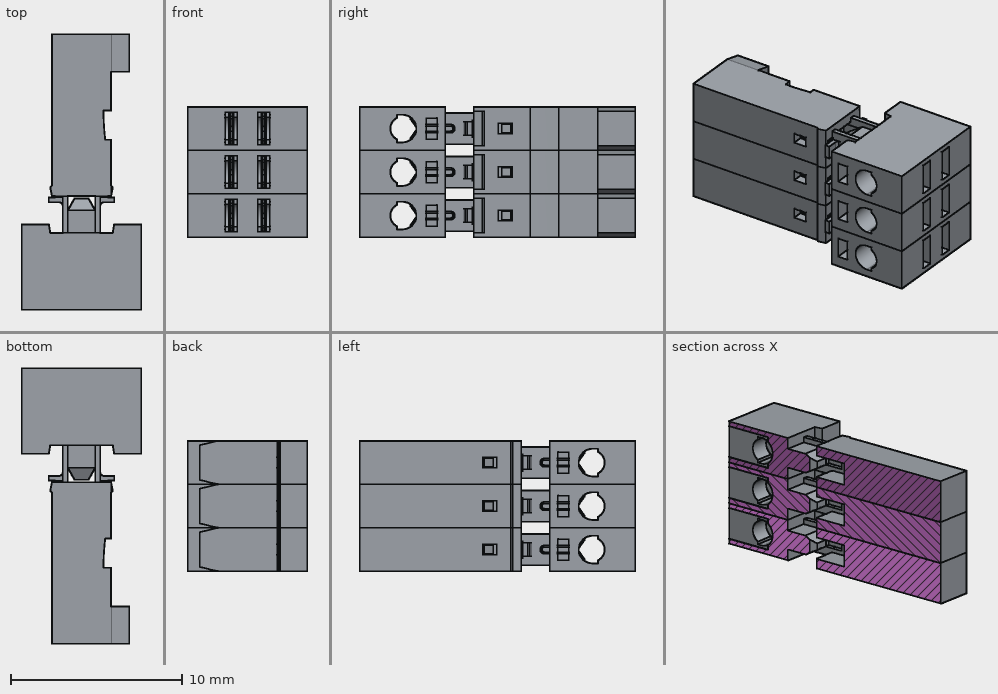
import cadquery as cq
import math

MODULE_COUNT = 3
PITCH = 2.54

BLOCK_WIDTH = 7.0
BLOCK_LENGTH = 5.0
NOTCH_DEPTH = 0.5
NOTCH_MOUTH_HALF = 1.9
NOTCH_FLOOR_HALF = 1.82
NOTCH_FLOOR_Y = BLOCK_LENGTH - NOTCH_DEPTH

HOLE_Y = 2.5
HOLE_REAR_RADIUS = 0.8
HOLE_FRONT_RADIUS = 0.7
HOLE_STEP_Y = 2.185

BLADE_THICKNESS = 0.3
BLADE_INNER_X = 0.8
BLADE_OUTER_X = BLADE_INNER_X + BLADE_THICKNESS
BLADE_X = BLADE_INNER_X + BLADE_THICKNESS / 2
BLADE_HALF_HEIGHT = 0.92

FORK_TIP_Y = 2.95
FORK_TIP_OUTER_Z = 0.72
FORK_TIP_INNER_Z = 0.58
FORK_THROAT_Y = 3.26
FORK_SLOT_HALF = 0.15
FORK_SLOT_END_Y = 5.46
FORK_EDGE_CHAMFER = 0.095

SLOT_WIDTH = 0.7
SLOT_HEIGHT = 1.9

WINDOW_NEAR_Y = 3.88
WINDOW_FAR_Y = 4.54
WINDOW_HEIGHT = 1.22

HOUSING_FRONT_Y = 6.65
HOUSING_REAR_Y = 16.1
HOUSING_HALF = 1.73
SNAP_RISE = 0.1
SNAP_CREST_Y = 7.15
SNAP_END_Y = 7.28
SNAP_SHORT_HEIGHT = 2.0

SCOOP_NEAR_Y = 9.95
SCOOP_FAR_Y = 11.64
SCOOP_NEAR_X = 1.39
SCOOP_FAR_X = 1.29

KEY_FRONT_Y = 13.9
KEY_REACH_X = 2.8
KEY_TAPER = 0.26
KEY_TIP_HEIGHT = PITCH - 2 * KEY_TAPER

TONGUE_SHOULDER_Y = 5.82
TONGUE_TIP_Y = 6.52
TONGUE_HALF_HEIGHT = 0.6
TONGUE_TAPER = 0.39
SOCKET_HALF_HEIGHT = 0.65
SOCKET_DEPTH = 2.1

EAR_REACH_X = 1.92
EAR_FRONT_Y = 6.28
EAR_REAR_Y = 6.57
EAR_HEIGHT = 0.8
EAR_BEND_RADIUS = 0.21
PAD_REACH_X = 1.54
PAD_HEIGHT = 1.0

BLADE_OPENING_FRONT_Y = 6.17
BLADE_OPENING_REAR_Y = 7.37

LATCH_NEAR_Y = 8.1
LATCH_FAR_Y = 8.91
LATCH_HEIGHT = 0.6
LANCE_NEAR_Y = 8.31
LANCE_FAR_Y = 8.81
LANCE_HEIGHT = 0.5
LANCE_RISE = 0.17


def block(x_from, x_to, y_from, y_to, height):
    """Box between the given X and Y limits, centred on the module's mid height."""
    return (
        cq.Workplane("XY")
        .box(x_to - x_from, y_to - y_from, height)
        .translate(((x_from + x_to) / 2, (y_from + y_to) / 2, 0))
    )


def extruded(outline, height):
    """Prism of a closed XY outline, centred on the module's mid height."""
    return outline.close().extrude(height / 2, both=True)


def both_sides(shape):
    """The shape made for the +X side together with its mirror image."""
    return shape.union(shape.mirror("YZ"))


def front_block():
    outline = cq.Workplane("XY").polyline(
        [
            (-BLOCK_WIDTH / 2, 0),
            (BLOCK_WIDTH / 2, 0),
            (BLOCK_WIDTH / 2, BLOCK_LENGTH),
            (NOTCH_MOUTH_HALF, BLOCK_LENGTH),
            (NOTCH_FLOOR_HALF, NOTCH_FLOOR_Y),
            (-NOTCH_FLOOR_HALF, NOTCH_FLOOR_Y),
            (-NOTCH_MOUTH_HALF, BLOCK_LENGTH),
            (-BLOCK_WIDTH / 2, BLOCK_LENGTH),
        ]
    )
    return extruded(outline, PITCH)


def wire_hole():
    step_half = math.sqrt(HOLE_FRONT_RADIUS**2 - (HOLE_Y - HOLE_STEP_Y) ** 2)
    return (
        cq.Workplane("YZ")
        .moveTo(HOLE_STEP_Y, step_half)
        .lineTo(HOLE_STEP_Y, HOLE_REAR_RADIUS)
        .lineTo(HOLE_Y, HOLE_REAR_RADIUS)
        .threePointArc((HOLE_Y + HOLE_REAR_RADIUS, 0), (HOLE_Y, -HOLE_REAR_RADIUS))
        .lineTo(HOLE_STEP_Y, -HOLE_REAR_RADIUS)
        .lineTo(HOLE_STEP_Y, -step_half)
        .threePointArc((HOLE_Y - HOLE_FRONT_RADIUS, 0), (HOLE_STEP_Y, step_half))
        .close()
        .extrude(BLOCK_WIDTH / 2, both=True)
    )


def front_slot():
    return block(BLADE_X - SLOT_WIDTH / 2, BLADE_X + SLOT_WIDTH / 2, 0, FORK_TIP_Y, SLOT_HEIGHT)


def side_window():
    return block(BLADE_OUTER_X, BLOCK_WIDTH / 2, WINDOW_NEAR_Y, WINDOW_FAR_Y, WINDOW_HEIGHT)


def blade_cavity():
    return block(BLADE_INNER_X, BLADE_OUTER_X, FORK_TIP_Y, BLOCK_LENGTH, 2 * BLADE_HALF_HEIGHT)


def tongue():
    half_width = BLADE_INNER_X
    body = block(-half_width, half_width, NOTCH_FLOOR_Y, TONGUE_SHOULDER_Y, 2 * TONGUE_HALF_HEIGHT)
    tip = (
        cq.Workplane("XZ", origin=(0, TONGUE_SHOULDER_Y, 0))
        .rect(2 * half_width, 2 * TONGUE_HALF_HEIGHT)
        .workplane(offset=TONGUE_SHOULDER_Y - TONGUE_TIP_Y)
        .rect(2 * (half_width - TONGUE_TAPER), 2 * (TONGUE_HALF_HEIGHT - TONGUE_TAPER))
        .loft(ruled=True)
    )
    return body.union(tip)


def blade():
    """Flat blade with a forked front end whose cutting edges are chamfered on both faces."""
    shoulder_y = FORK_TIP_Y + BLADE_HALF_HEIGHT - FORK_TIP_OUTER_Z
    slot_centre_y = FORK_SLOT_END_Y - FORK_SLOT_HALF
    plate = (
        cq.Workplane("YZ", origin=(BLADE_INNER_X, 0, 0))
        .moveTo(HOUSING_FRONT_Y, BLADE_HALF_HEIGHT)
        .lineTo(shoulder_y, BLADE_HALF_HEIGHT)
        .lineTo(FORK_TIP_Y, FORK_TIP_OUTER_Z)
        .lineTo(FORK_TIP_Y, FORK_TIP_INNER_Z)
        .lineTo(FORK_THROAT_Y, FORK_SLOT_HALF)
        .lineTo(slot_centre_y, FORK_SLOT_HALF)
        .threePointArc((FORK_SLOT_END_Y, 0), (slot_centre_y, -FORK_SLOT_HALF))
        .lineTo(FORK_THROAT_Y, -FORK_SLOT_HALF)
        .lineTo(FORK_TIP_Y, -FORK_TIP_INNER_Z)
        .lineTo(FORK_TIP_Y, -FORK_TIP_OUTER_Z)
        .lineTo(shoulder_y, -BLADE_HALF_HEIGHT)
        .lineTo(HOUSING_FRONT_Y, -BLADE_HALF_HEIGHT)
        .close()
        .extrude(BLADE_THICKNESS)
    )
    margin = FORK_EDGE_CHAMFER / 2
    inner_half = BLADE_HALF_HEIGHT - margin
    fork_region = cq.selectors.BoxSelector(
        (BLADE_INNER_X - margin, 0, -inner_half),
        (BLADE_OUTER_X + margin, FORK_SLOT_END_Y + margin, inner_half),
    )
    return plate.faces("<X or >X").edges(fork_region).chamfer(FORK_EDGE_CHAMFER)


def ear():
    """Ear standing out from the blade, with a rounded bend on its front side."""
    bend_x = BLADE_OUTER_X + EAR_BEND_RADIUS
    bend_y = EAR_FRONT_Y - EAR_BEND_RADIUS
    bend_reach = EAR_BEND_RADIUS * (1 - math.sqrt(0.5))
    outline = (
        cq.Workplane("XY")
        .moveTo(BLADE_OUTER_X, bend_y)
        .threePointArc((BLADE_OUTER_X + bend_reach, EAR_FRONT_Y - bend_reach), (bend_x, EAR_FRONT_Y))
        .lineTo(EAR_REACH_X, EAR_FRONT_Y)
        .lineTo(EAR_REACH_X, EAR_REAR_Y)
        .lineTo(BLADE_OUTER_X, EAR_REAR_Y)
    )
    pad = block(BLADE_OUTER_X, PAD_REACH_X, EAR_REAR_Y, HOUSING_FRONT_Y, PAD_HEIGHT)
    return extruded(outline, EAR_HEIGHT).union(pad)


def rear_housing():
    scoop_middle_y = (SCOOP_NEAR_Y + SCOOP_FAR_Y) / 2
    scoop_middle_x = SCOOP_FAR_X + (SCOOP_NEAR_X - SCOOP_FAR_X) / 4
    outline = (
        cq.Workplane("XY")
        .moveTo(HOUSING_HALF, HOUSING_FRONT_Y)
        .lineTo(HOUSING_HALF, SCOOP_NEAR_Y)
        .lineTo(SCOOP_NEAR_X, SCOOP_NEAR_Y)
        .threePointArc((scoop_middle_x, scoop_middle_y), (SCOOP_FAR_X, SCOOP_FAR_Y))
        .lineTo(HOUSING_HALF, SCOOP_FAR_Y)
        .lineTo(HOUSING_HALF, HOUSING_REAR_Y)
        .lineTo(-HOUSING_HALF, HOUSING_REAR_Y)
        .lineTo(-HOUSING_HALF, HOUSING_FRONT_Y)
    )
    return extruded(outline, PITCH)


def snap_ridge(height):
    """Snap ridge along Z on the +X side of the rear housing."""
    outline = cq.Workplane("XY").polyline(
        [
            (HOUSING_HALF, HOUSING_FRONT_Y),
            (HOUSING_HALF + SNAP_RISE, SNAP_CREST_Y),
            (HOUSING_HALF, SNAP_END_Y),
        ]
    )
    return extruded(outline, height)


def key():
    return (
        cq.Workplane("XZ", origin=(0, HOUSING_REAR_Y, 0))
        .polyline(
            [
                (HOUSING_HALF, PITCH / 2),
                (KEY_REACH_X, KEY_TIP_HEIGHT / 2),
                (KEY_REACH_X, -KEY_TIP_HEIGHT / 2),
                (HOUSING_HALF, -PITCH / 2),
            ]
        )
        .close()
        .extrude(HOUSING_REAR_Y - KEY_FRONT_Y)
    )


def socket():
    return block(
        -BLADE_INNER_X,
        BLADE_INNER_X,
        HOUSING_FRONT_Y,
        HOUSING_FRONT_Y + SOCKET_DEPTH,
        2 * SOCKET_HALF_HEIGHT,
    )


def blade_opening():
    return block(
        BLADE_INNER_X,
        BLADE_OUTER_X,
        BLADE_OPENING_FRONT_Y,
        BLADE_OPENING_REAR_Y,
        EAR_HEIGHT,
    )


def latch_opening():
    return block(BLADE_OUTER_X, HOUSING_HALF, LATCH_NEAR_Y, LATCH_FAR_Y, LATCH_HEIGHT)


def lance():
    outline = cq.Workplane("XY").polyline(
        [
            (BLADE_OUTER_X, LANCE_NEAR_Y),
            (BLADE_OUTER_X + LANCE_RISE, LANCE_NEAR_Y),
            (BLADE_OUTER_X, LANCE_FAR_Y),
        ]
    )
    return extruded(outline, LANCE_HEIGHT)


def connector_module():
    wire_side = front_block().cut(wire_hole())
    for pocket in (front_slot(), side_window(), blade_cavity()):
        wire_side = wire_side.cut(both_sides(pocket))

    snap_ridges = snap_ridge(SNAP_SHORT_HEIGHT).union(snap_ridge(PITCH).mirror("YZ"))
    plug_side = rear_housing().union(snap_ridges).union(key()).cut(socket())
    plug_side = plug_side.cut(both_sides(latch_opening())).union(both_sides(lance()))

    contacts = both_sides(blade().union(ear()))
    module = wire_side.union(tongue()).union(contacts).union(plug_side)
    return module.cut(both_sides(blade_opening()))


module = connector_module()
modules = []
for index in range(MODULE_COUNT):
    height = (index - (MODULE_COUNT - 1) / 2) * PITCH
    modules.append(module.translate((0, 0, height)).solids().val())

result = cq.Compound.makeCompound(modules)